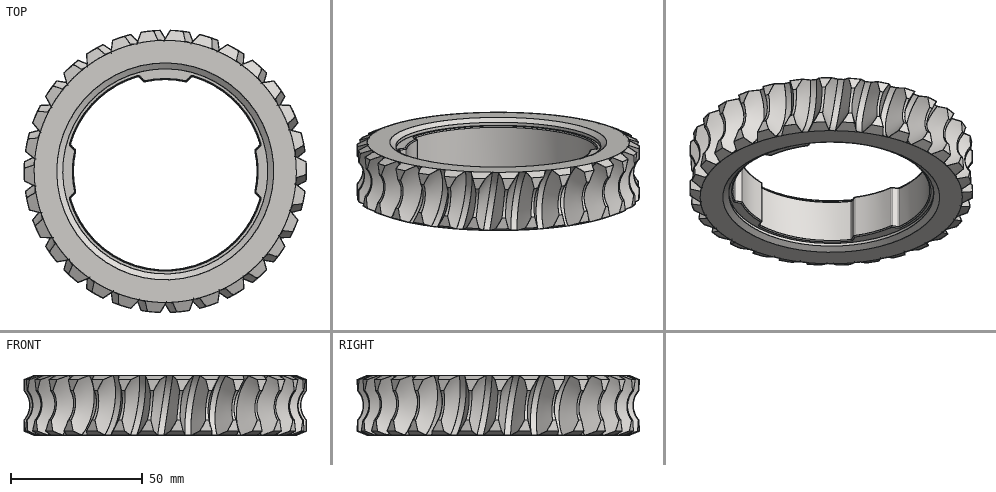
import cadquery as cq
import math

tip_radius = 53.9
width = 22.8
half_width = width / 2
rim_chamfer_radial = 3.9
rim_chamfer_axial = 1.6

tooth_count = 30
worm_distance = 60.1
throat_arc_radius = 8.4
root_arc_radius = 15.3
root_half_width = 1.2
flank_angle = 29.0
lead_angle = 8.5
gap_sweep_angle = 140.0
cutter_inner_radius = 7.8

bore_radius = 37.6
recess_radius = 39.1
recess_depth = 2.6
recess_chamfer_radial = 2.3
recess_chamfer_axial = 1.4
bore_edge_chamfer = 0.4

lug_radius = 35.0
lug_tip_half_width = 8.1
lug_side_angle = 45.0
lug_corner_radius = 0.6
lug_directions = (0, 90, 180)


def ring_blank():
    """Rim-chamfered ring with recessed ends, its hole still at the lug radius."""
    face_radius = tip_radius - rim_chamfer_radial
    shoulder = half_width - rim_chamfer_axial
    floor = half_width - recess_depth
    recess_mouth = recess_radius + recess_chamfer_radial
    chamfer_foot = half_width - recess_chamfer_axial
    profile = (
        cq.Workplane("XZ")
        .moveTo(face_radius, half_width)
        .lineTo(tip_radius, shoulder)
        .lineTo(tip_radius, -shoulder)
        .lineTo(face_radius, -half_width)
        .lineTo(recess_mouth, -half_width)
        .lineTo(recess_radius, -chamfer_foot)
        .lineTo(recess_radius, -floor)
        .lineTo(lug_radius, -floor)
        .lineTo(lug_radius, floor)
        .lineTo(recess_radius, floor)
        .lineTo(recess_radius, chamfer_foot)
        .lineTo(recess_mouth, half_width)
        .close()
    )
    return profile.revolve(360, (0, 0, 0), (0, 1, 0))


def lug_wedge(direction):
    """Wedge through the bore wall whose sloping sides are the sides of one lug."""
    spread = math.tan(math.radians(lug_side_angle))
    tip_corner = math.sqrt(lug_radius**2 - lug_tip_half_width**2)
    outer_half = lug_tip_half_width + (recess_radius - tip_corner) * spread
    tip_back = tip_corner - lug_corner_radius
    tip_back_half = lug_tip_half_width - lug_corner_radius * spread
    wedge = (
        cq.Workplane("XY")
        .moveTo(tip_back, -tip_back_half)
        .lineTo(recess_radius, -outer_half)
        .lineTo(recess_radius, outer_half)
        .lineTo(tip_back, tip_back_half)
        .close()
        .extrude(half_width, both=True)
    )
    return wedge.rotate((0, 0, 0), (0, 0, 1), direction)


def bore_core():
    """Solid that fills the hole: the bore cylinder notched by the lugs, corners rounded."""
    half_length = half_width - recess_depth
    core = cq.Workplane("XY").circle(bore_radius).extrude(half_length, both=True)
    for direction in lug_directions:
        core = core.cut(lug_wedge(direction))
    tips = cq.Workplane("XY").circle(lug_radius).extrude(half_length, both=True)
    return core.union(tips).edges("|Z").fillet(lug_corner_radius)


def cut_bore(body):
    """Open the bore and break its edges where it meets the recess floors."""
    floor = half_width - recess_depth
    body = body.cut(bore_core())
    reach = bore_radius + bore_edge_chamfer
    for level in (floor, -floor):
        low_corner = (-reach, -reach, level - bore_edge_chamfer / 2)
        high_corner = (reach, reach, level + bore_edge_chamfer / 2)
        bore_edges = cq.selectors.BoxSelector(low_corner, high_corner, boundingbox=True)
        body = body.edges(bore_edges).chamfer(bore_edge_chamfer)
    return body


def throat_cutter():
    """Ring that hollows the rim to the curve of the worm."""
    return (
        cq.Workplane("XZ")
        .center(worm_distance, 0)
        .circle(throat_arc_radius)
        .revolve(360, (-worm_distance, 0, 0), (-worm_distance, 1, 0))
    )


def gap_cutter():
    """Tapered sector about the tilted worm axis; it leaves one tooth gap on the -Y side."""
    taper = math.tan(math.radians(flank_angle))
    inner_half_width = root_half_width + (root_arc_radius - cutter_inner_radius) * taper
    sector = (
        cq.Workplane("XY")
        .polyline(
            [
                (-inner_half_width, cutter_inner_radius),
                (-root_half_width, root_arc_radius),
                (root_half_width, root_arc_radius),
                (inner_half_width, cutter_inner_radius),
            ]
        )
        .close()
        .revolve(gap_sweep_angle, (0, 0, 0), (1, 0, 0))
        .rotate((0, 0, 0), (1, 0, 0), -gap_sweep_angle / 2)
    )
    return sector.rotate((0, 0, 0), (0, 1, 0), lead_angle).translate((0, -worm_distance, 0))


def one_pitch(blank):
    """Slice of the blank, one tooth pitch wide and centred on -Y, with its gap cut."""
    pitch_angle = 360 / tooth_count
    reach = 2 * tip_radius
    half_span = reach * math.tan(math.radians(pitch_angle / 2))
    sector = (
        cq.Workplane("XY")
        .moveTo(0, 0)
        .lineTo(half_span, -reach)
        .lineTo(-half_span, -reach)
        .close()
        .extrude(half_width, both=True)
    )
    piece = blank.intersect(sector)
    for step in (-1, 0, 1):
        piece = piece.cut(gap_cutter().rotate((0, 0, 0), (0, 0, 1), step * pitch_angle))
    return piece


def toothed_ring():
    """Identical one-pitch slices joined all the way round the wheel."""
    piece = one_pitch(ring_blank().cut(throat_cutter())).val()
    axis_start = cq.Vector(0, 0, 0)
    axis_end = cq.Vector(0, 0, 1)
    pieces = [piece.rotate(axis_start, axis_end, i * 360 / tooth_count) for i in range(tooth_count)]
    joined = pieces[0].fuse(*pieces[1:]).clean()
    return cq.Workplane(joined.Solids()[0])


result = cut_bore(toothed_ring())